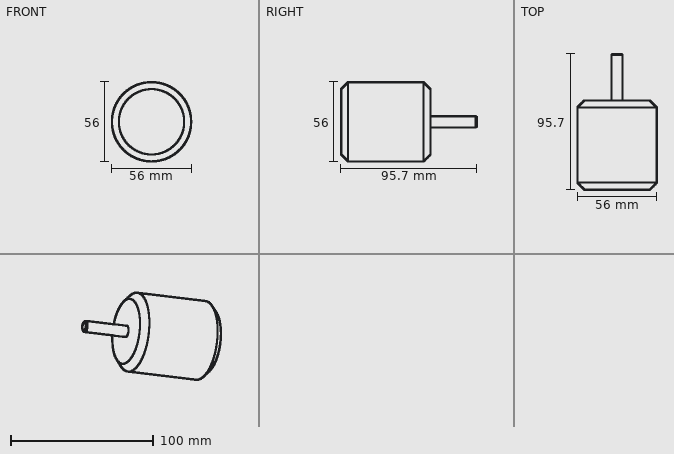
import cadquery as cq

total_length = 95.7
body_diameter = 56.0
body_length = 62.95
body_chamfer = 5.0
shaft_diameter = 8.0
shaft_chamfer = 1.0

shaft_length = total_length - body_length


def cylinder_along_y(diameter, start_y, length):
    """Cylinder centred on the Y axis, growing toward +Y from start_y."""
    base = cq.Workplane("XZ", origin=(0, start_y, 0))
    return base.circle(diameter / 2).extrude(-length)


body = cylinder_along_y(body_diameter, 0, body_length).faces("<Y or >Y").chamfer(body_chamfer)

shaft = cylinder_along_y(shaft_diameter, body_length, shaft_length).faces(">Y").chamfer(shaft_chamfer)

result = body.union(shaft)